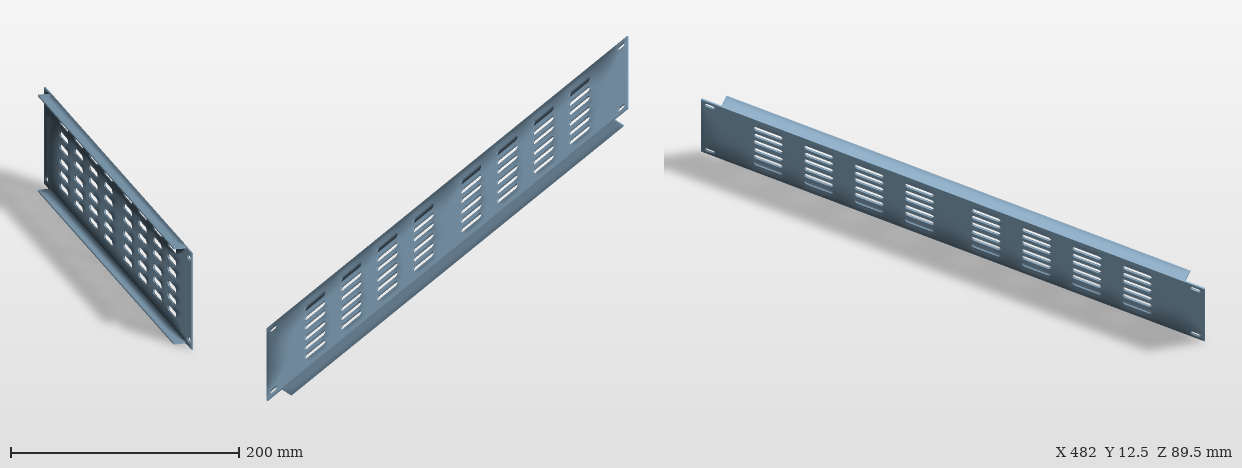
import cadquery as cq

panel_width = 482.0
panel_height = 89.0
overall_height = 89.5
panel_depth = 12.5
sheet = 1.5

ear_width = 19.0
flange_width = panel_width - 2 * ear_width

mount_spacing_x = 465.0
mount_spacing_z = 76.0
mount_length = 10.0
mount_height = 4.8

vent_length = 28.0
vent_height = 6.0
vent_rows_per_side = 3
vent_inner_row_z = 6.65
vent_row_pitch = 11.45
vent_columns_per_side = 4
vent_column_pitch = 48.25
vent_inner_column_x = 31.9


def make_plate():
    """Flat front plate with its outer face on Y = 0."""
    return cq.Workplane("XY").box(panel_width, sheet, panel_height).translate((0, -sheet / 2, 0))


def make_flange(side):
    """Flange folded towards -Y and flaring outwards; side is +1 for the top edge and -1 for the bottom edge."""
    root_z = panel_height / 2
    tip_z = overall_height / 2
    profile = [
        (-sheet, root_z),
        (-panel_depth, tip_z),
        (-panel_depth, tip_z - sheet),
        (-sheet, root_z - sheet),
    ]
    flange = cq.Workplane("YZ").polyline([(y, side * z) for y, z in profile]).close()
    return flange.extrude(flange_width / 2, both=True)


def slot_cutter(centers, length, height):
    """Round-ended slots along X, running through the plate thickness."""
    return cq.Workplane("XZ").pushPoints(centers).slot2D(length, height).extrude(sheet)


def mount_centers():
    """Centres (X, Z) of the four corner mounting slots."""
    return [
        (side_x * mount_spacing_x / 2, side_z * mount_spacing_z / 2)
        for side_x in (-1, 1)
        for side_z in (-1, 1)
    ]


def vent_centers():
    """Centres (X, Z) of all vent slots, mirrored about both middle planes of the panel."""
    return [
        (
            side_x * (vent_inner_column_x + column * vent_column_pitch),
            side_z * (vent_inner_row_z + row * vent_row_pitch),
        )
        for side_x in (-1, 1)
        for side_z in (-1, 1)
        for column in range(vent_columns_per_side)
        for row in range(vent_rows_per_side)
    ]


result = make_plate().union(make_flange(1)).union(make_flange(-1))
result = result.cut(slot_cutter(mount_centers(), mount_length, mount_height))
result = result.cut(slot_cutter(vent_centers(), vent_length, vent_height))